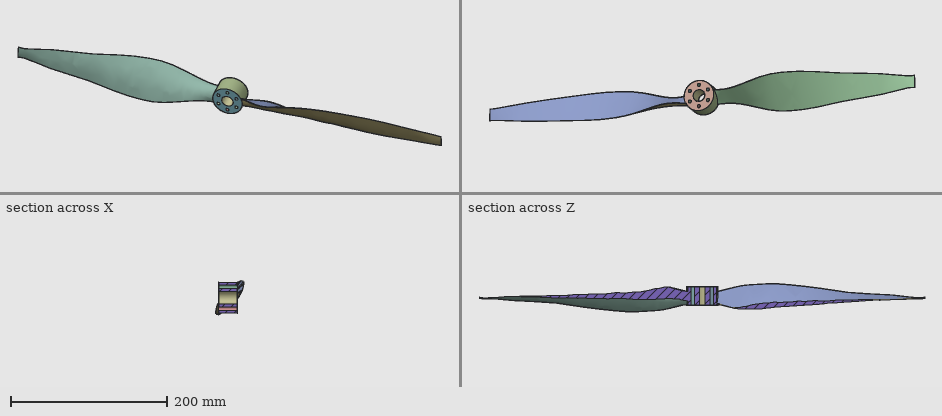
import cadquery as cq
import math

span = 570
hub_diameter = 40.0
hub_front = -9.5
hub_back = 14.0
bore_diameter = 15.5
bolt_hole_diameter = 4.0
bolt_circle_diameter = 28.0
bolt_hole_count = 6

root_radius = 17.5
tip_radius = span / 2

blade_stations = [
    (root_radius, 16.0, 15.5, 9.0),
    (35.5, 24.0, 13.0, 8.0),
    (57.0, 32.5, 20.0, 8.0),
    (77.5, 35.5, 32.0, 8.0),
    (98.0, 35.5, 40.5, 7.0),
    (119.5, 31.5, 43.5, 6.0),
    (139.0, 27.5, 43.0, 5.5),
    (170.0, 18.0, 37.5, 4.5),
    (211.0, 10.0, 31.0, 3.0),
    (252.5, 5.0, 22.0, 1.5),
    (tip_radius, 1.5, 16.0, 1.0),
]
camber_share = 0.4
edge_share = 0.1


def section_wire(radius, width, height, thickness):
    """Curved blade section across the -X blade, with narrow blunt edges."""
    chord = math.hypot(width, height)
    along = (width / chord, height / chord)
    across = (-along[1], along[0])

    def place(distance, offset):
        return cq.Vector(
            -radius,
            distance * along[0] + offset * across[0],
            distance * along[1] + offset * across[1],
        )

    half_chord = chord / 2
    half_edge = thickness * edge_share / 2
    crown = thickness * (camber_share + 0.5)
    hollow = thickness * (camber_share - 0.5)
    lower_edge = [place(-half_chord, half_edge), place(-half_chord, -half_edge)]
    upper_edge = [place(half_chord, half_edge), place(half_chord, -half_edge)]
    return cq.Wire.assembleEdges([
        cq.Edge.makeThreePointArc(lower_edge[0], place(0, crown), upper_edge[0]),
        cq.Edge.makeLine(upper_edge[0], upper_edge[1]),
        cq.Edge.makeThreePointArc(upper_edge[1], place(0, hollow), lower_edge[1]),
        cq.Edge.makeLine(lower_edge[1], lower_edge[0]),
    ])


def make_blade():
    """Twisted blade reaching from the hub wall to the tip along -X."""
    sections = [section_wire(*station) for station in blade_stations]
    return cq.Workplane(cq.Solid.makeLoft(sections))


def hub_cylinder(diameter):
    """Cylinder along Y through the full depth of the hub."""
    plane = cq.Workplane("XZ", origin=(0, hub_back, 0))
    return plane.circle(diameter / 2).extrude(hub_back - hub_front)


def bolt_holes():
    """Ring of bolt holes, one of them straight above the bore."""
    plane = cq.Workplane("XZ", origin=(0, hub_back, 0))
    ring = plane.polarArray(bolt_circle_diameter / 2, 90, 360, bolt_hole_count)
    return ring.circle(bolt_hole_diameter / 2).extrude(hub_back - hub_front)


blade = make_blade()
opposite_blade = blade.rotate((0, 0, 0), (0, 1, 0), 180)
body = hub_cylinder(hub_diameter).union(blade).union(opposite_blade)
result = body.cut(hub_cylinder(bore_diameter)).cut(bolt_holes())